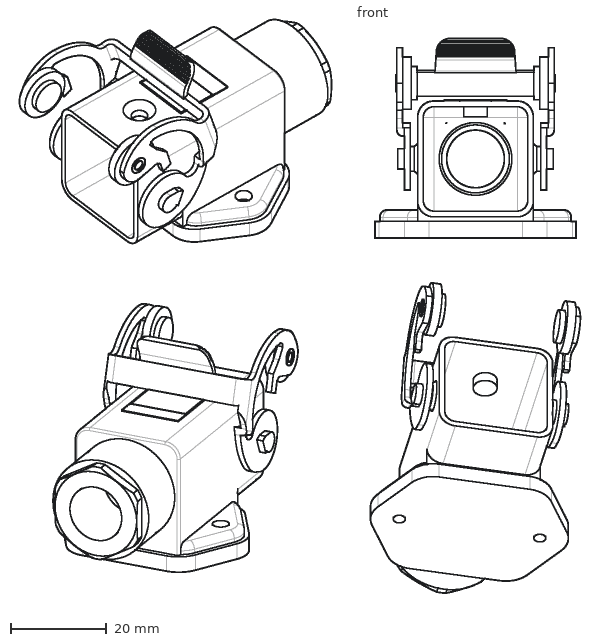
import cadquery as cq
import math


hexagon_half_angle = 30

flange_half_length = 21.0
flange_half_depth = 15.15
flange_centre_y = 0.1
flange_corner_radius = 6.0
flange_thickness = 3.5
tier_top = 5.9
tier_side_inset = 1.0
tier_end_inset = 1.4
tier_fillet = 1.5
mount_hole_offset = flange_half_length - flange_corner_radius
mount_hole_diameter = 2.5
mount_counterbore_diameter = 3.5

body_half_width = 12.1
body_top = 28.65
body_bottom = 4.45
body_front = -26.8
body_back = 14.1
pedestal_front = -14.3
body_corner_radius = 3.35
body_back_fillet = 0.5
wall = 1.2
cavity_corner_radius = 2.2
back_wall = 2.0
body_height = body_top - body_bottom
axis_z = (body_top + body_bottom) / 2

gland_diameter = 22.2
gland_end = 26.65
nut_end = 29.08
nut_across_flats = 19.0
nut_corner_diameter = 20.9
nut_chamfer_length = 0.4
nut_chamfer_width = 1.0
cable_bore_diameter = 12.0
seat_diameter = 15.2
seat_bottom_diameter = 14.2
seat_depth = 0.5

screw_y = -15.8
screw_head_diameter = 6.8
screw_hole_diameter = 3.4
screw_boss_diameter = 5.0
screw_boss_bottom = 25.3
screw_floor_thickness = 0.3
screw_cone_depth = 1.5

plate_half_width = 6.56
plate_back = 2.93
plate_front = -10.0
plate_height = 0.2
plate_recess_back = -1.1
plate_rim = 0.2
plate_recess_depth = 0.1

pivot_y = -21.25
pivot_z = axis_z
peg_radius = 2.15
peg_end = 16.25
peg_flat_length = 2.2
lug_tip = (3.5, 1.6)
lug_root = (2.1, -1.7)
hub_radius = 2.6
hub_base_radius = 3.2
hub_cone_length = 0.7

lever_sheet = 1.25
inner_plate_x = 13.6
outer_plate_end = 16.45
outer_plate_x = outer_plate_end - lever_sheet
pivot_disc_radius = 6.54
lever_tilt = 17.5
bar_outer_y = -8.55
bar_mid_z = 31.9
bar_bottom = 29.6
bar_cut_depth = 4.0
bar_bend_radius = 2.5
joggle_fillet = 1.2
arm_reach = 40.0
sheet_half_height = 25.0

joggle_top_back = (-9.35, 24.05)
joggle_top_front = (-12.34, 23.04)
joggle_bottom_front = (-12.48, 21.30)
joggle_bottom_back = (-9.77, 22.22)

neck_back_arc_middle = (-10.96, 17.85)
neck_back_arc_end = (-14.50, 12.57)
neck_disc_arc_middle = (-16.3, 11.4)
neck_disc_lower_angle = -64.5
neck_disc_upper_angle = 57.5
notch_start = (-16.3, 20.65)
notch_bottom = (-14.50, 19.55)

bar_top_back = (-9.3, 35.17)
bar_bottom_back = (-7.4, 29.3)
arm_root_back = (-9.03, 25.20)
shoulder_start = (-12.11, 34.16)
shoulder_middle = (-13.2, 34.3)
shoulder_end = (-14.18, 34.98)
arm_rise = (-19.23, 38.52)
arm_crown = (-25.20, 39.76)
arm_fall = (-30.94, 37.83)
hook_throat_start = (-25.65, 29.79)
hook_throat_middle = (-24.6, 29.6)
hook_throat_end = (-24.05, 28.65)
hook_tip_front = (-23.45, 26.76)
hook_tip_back = (-21.38, 27.73)
hook_knee = (-22.44, 31.54)
hook_root = (-25.20, 33.79)
window_corner_start = (-27.03, 35.99)
window_corner_middle = (-26.57, 36.91)
window_corner_end = (-25.65, 37.23)
window_crown = (-20.0, 36.1)
window_shoulder = (-15.97, 33.2)
window_flank = (-13.4, 29.3)
window_foot = (-12.4, 25.0)

roller_y = -30.33
roller_z = 32.37
roller_radius = 5.5
roller_inner_x = 13.4
latch_pin_radius = 3.5
latch_pin_x = 12.2
rivet_radius = 1.8
rivet_end = 16.63
rivet_dimple_radius = 1.06
rivet_dimple_depth = 0.2
arm_end_radius = 4.04
arm_end_middle_angle = -135

tab_base_half_width = 8.5
tab_top_half_width = 8.0
tab_corner_radius = 3.0
tab_base_z = 34.5
tab_front_y = -10.96
tab_bend_z = 36.2
tab_bend_radius = 4.8
tab_sheet = 1.1
tab_top_y = -7.84
tab_top_z = 41.73
groove_count = 5
groove_pitch = 0.86
groove_width = 0.35
groove_depth = 0.2
groove_start = 2.2


def point_on_circle(centre, radius, degrees):
    """(Y, Z) point on a circle, its angle measured from +Y toward +Z."""
    angle = math.radians(degrees)
    return (centre[0] + radius * math.cos(angle), centre[1] + radius * math.sin(angle))


def midpoint(first, second):
    return ((first[0] + second[0]) / 2, (first[1] + second[1]) / 2)


def cylinder_x(y, z, radius, x_start, x_end):
    """Cylinder along X between two X positions."""
    return cq.Workplane("YZ", origin=(x_start, y, z)).circle(radius).extrude(x_end - x_start)


def cylinder_y(diameter, y_start, y_end):
    """Cylinder on the cable axis between two Y positions."""
    sketch = cq.Workplane("XZ", origin=(0, y_start, axis_z)).circle(diameter / 2)
    return sketch.extrude(y_start - y_end)


def box_between(x, y, z):
    """Box from (low, high) pairs along X, Y and Z."""
    size = (x[1] - x[0], y[1] - y[0], z[1] - z[0])
    return cq.Workplane("XY").box(*size, centered=False).translate((x[0], y[0], z[0]))


def flange_layer(inset, half_depth, z_start, z_end):
    """Elongated hexagon with 60 degree flanks and rounded corners."""
    radius = flange_corner_radius - inset
    flank = mount_hole_offset + radius / math.cos(math.radians(hexagon_half_angle))
    end_half_length = flank - half_depth * math.tan(math.radians(hexagon_half_angle))
    outline = [
        (flank, 0),
        (end_half_length, half_depth),
        (-end_half_length, half_depth),
        (-flank, 0),
        (-end_half_length, -half_depth),
        (end_half_length, -half_depth),
    ]
    layer = cq.Workplane("XY", origin=(0, 0, z_start)).polyline(outline).close().extrude(z_end - z_start)
    return layer.edges("|Z").fillet(radius)


def make_flange():
    base = flange_layer(0, flange_half_depth, 0, flange_thickness)
    tier = flange_layer(tier_side_inset, flange_half_depth - tier_end_inset, flange_thickness, tier_top)
    flange = base.union(tier.faces(">Z").edges().fillet(tier_fillet))
    return flange.translate((0, flange_centre_y, 0))


def drill_mount_holes(part):
    centres = [(-mount_hole_offset, 0), (mount_hole_offset, 0)]
    holes = cq.Workplane("XY").pushPoints(centres).circle(mount_hole_diameter / 2).extrude(tier_top)
    counterbores = cq.Workplane("XY", origin=(0, 0, flange_thickness)).pushPoints(centres)
    counterbores = counterbores.circle(mount_counterbore_diameter / 2).extrude(tier_top - flange_thickness)
    return part.cut(holes).cut(counterbores)


def make_body():
    """Rounded square tube blank standing on a pedestal."""
    width = (-body_half_width, body_half_width)
    tube = box_between(width, (body_front, body_back), (body_bottom, body_top))
    tube = tube.edges("|Y").fillet(body_corner_radius)
    pedestal = box_between(width, (pedestal_front, body_back), (0, axis_z))
    body = tube.union(pedestal)
    return body.faces(">Y").edges("not <Z").fillet(body_back_fillet)


def make_cavity():
    half_width = body_half_width - wall
    cavity = box_between(
        (-half_width, half_width),
        (body_front, body_back - back_wall),
        (body_bottom + wall, body_top - wall),
    )
    tall = box_between(
        (-half_width, half_width),
        (body_front, body_back - back_wall),
        (body_bottom - body_height, body_top - wall),
    )
    rounded_end = tall.edges("|Y or >Y").edges("not <Z").fillet(cavity_corner_radius)
    return cavity.edges("|Y").fillet(cavity_corner_radius).intersect(rounded_end)


def make_gland():
    sleeve = cylinder_y(gland_diameter, body_back - back_wall, gland_end)
    hexagon = cq.Workplane("XZ", origin=(0, gland_end, axis_z)).polygon(
        6, nut_across_flats / math.cos(math.radians(hexagon_half_angle))
    )
    nut = hexagon.extrude(gland_end - nut_end).rotate((0, 0, axis_z), (0, 1, axis_z), hexagon_half_angle)
    envelope = cylinder_y(nut_corner_diameter, gland_end, nut_end)
    envelope = envelope.faces(">Y").chamfer(nut_chamfer_length, nut_chamfer_width)
    nut = nut.intersect(envelope)
    return sleeve.union(nut)


def bore_gland(part):
    cavity_end = body_back - back_wall
    seat = (
        cq.Workplane("XZ", origin=(0, cavity_end, axis_z))
        .circle(seat_diameter / 2)
        .workplane(offset=-seat_depth)
        .circle(seat_bottom_diameter / 2)
        .loft()
    )
    return part.cut(cylinder_y(cable_bore_diameter, cavity_end, nut_end)).cut(seat)


def add_screw_seat(part):
    boss_height = body_top - screw_boss_bottom
    boss = cq.Workplane("XY", origin=(0, screw_y, screw_boss_bottom))
    boss = boss.circle(screw_boss_diameter / 2).extrude(boss_height - wall / 2)
    profile = [
        (0, body_top),
        (screw_head_diameter / 2, body_top),
        (screw_hole_diameter / 2, body_top - screw_cone_depth),
        (screw_hole_diameter / 2, screw_boss_bottom + screw_floor_thickness),
        (0, screw_boss_bottom + screw_floor_thickness),
    ]
    hole = cq.Workplane("XZ").polyline(profile).close().revolve(360, (0, 0, 0), (0, 1, 0))
    return part.union(boss).cut(hole.translate((0, screw_y, 0)))


def make_name_plate():
    plate = box_between(
        (-plate_half_width, plate_half_width),
        (plate_front, plate_back),
        (body_top - wall / 2, body_top + plate_height),
    )
    recess_half_width = plate_half_width - plate_rim
    recess = box_between(
        (-recess_half_width, recess_half_width),
        (plate_front + plate_rim, plate_recess_back),
        (body_top + plate_height - plate_recess_depth, body_top + plate_height),
    )
    return plate.cut(recess)


def make_pivot():
    """Peg with a conical hub on the +X wall and a retaining lug on its +Y flank."""
    hub_root = body_half_width - wall / 2
    hub = cylinder_x(pivot_y, pivot_z, hub_radius, hub_root, inner_plate_x)
    cone = (
        cq.Workplane("YZ", origin=(body_half_width, pivot_y, pivot_z))
        .circle(hub_base_radius)
        .workplane(offset=hub_cone_length)
        .circle(hub_radius)
        .loft()
    )
    peg = cylinder_x(pivot_y, pivot_z, peg_radius, inner_plate_x, peg_end)
    lug = (
        cq.Workplane("YZ", origin=(inner_plate_x, pivot_y, pivot_z))
        .polyline([(0, 0), (0, peg_radius), (peg_flat_length, peg_radius), lug_tip, lug_root])
        .close()
        .extrude(peg_end - inner_plate_x)
    )
    return hub.union(cone).union(peg).union(lug)


def make_inner_plate():
    """Lower lever plate: pivot disc with a neck rising to the joggle."""
    disc = cylinder_x(pivot_y, pivot_z, pivot_disc_radius, inner_plate_x, inner_plate_x + lever_sheet)
    lower_tangent = point_on_circle((pivot_y, pivot_z), pivot_disc_radius, neck_disc_lower_angle)
    upper_tangent = point_on_circle((pivot_y, pivot_z), pivot_disc_radius, neck_disc_upper_angle)
    neck = (
        cq.Workplane("YZ", origin=(inner_plate_x, 0, 0))
        .moveTo(*joggle_top_back)
        .lineTo(*joggle_bottom_back)
        .threePointArc(neck_back_arc_middle, neck_back_arc_end)
        .threePointArc(neck_disc_arc_middle, lower_tangent)
        .lineTo(pivot_y, pivot_z)
        .lineTo(*upper_tangent)
        .lineTo(*notch_start)
        .threePointArc(notch_bottom, joggle_bottom_front)
        .lineTo(*joggle_top_front)
        .close()
        .extrude(lever_sheet)
    )
    return disc.union(neck)


def make_joggle():
    """Offset bend that carries the inner plate out to the outer plate."""
    corners = [joggle_top_back, joggle_top_front, joggle_bottom_front, joggle_bottom_back]
    joggle = cq.Workplane("YZ", origin=(inner_plate_x, 0, 0)).polyline(corners).close()
    joggle = joggle.extrude(outer_plate_end - inner_plate_x)
    lower_middle = midpoint(joggle_bottom_front, joggle_bottom_back)
    upper_middle = midpoint(joggle_top_front, joggle_top_back)
    outer_lower_edge = cq.selectors.NearestToPointSelector((outer_plate_end, *lower_middle))
    inner_upper_edge = cq.selectors.NearestToPointSelector((inner_plate_x, *upper_middle))
    return joggle.edges(outer_lower_edge).fillet(joggle_fillet).edges(inner_upper_edge).fillet(joggle_fillet)


def make_bail():
    """U-shaped sheet: cross bar and two hooked arms, shaped by its side outline."""
    arm_end_middle = point_on_circle((roller_y, roller_z), arm_end_radius, arm_end_middle_angle)
    side = (
        cq.Workplane("YZ", origin=(-outer_plate_end, 0, 0))
        .moveTo(*bar_top_back)
        .lineTo(*shoulder_start)
        .threePointArc(shoulder_middle, shoulder_end)
        .threePointArc(arm_rise, arm_crown)
        .threePointArc(arm_fall, (roller_y - arm_end_radius, roller_z))
        .threePointArc(arm_end_middle, (roller_y, roller_z - arm_end_radius))
        .lineTo(*hook_throat_start)
        .threePointArc(hook_throat_middle, hook_throat_end)
        .lineTo(*hook_tip_front)
        .lineTo(*hook_tip_back)
        .lineTo(*hook_knee)
        .lineTo(*hook_root)
        .lineTo(*window_corner_start)
        .threePointArc(window_corner_middle, window_corner_end)
        .threePointArc(window_crown, window_shoulder)
        .threePointArc(window_flank, window_foot)
        .lineTo(*joggle_top_front)
        .lineTo(*joggle_top_back)
        .lineTo(*arm_root_back)
        .lineTo(*bar_bottom_back)
        .close()
        .extrude(2 * outer_plate_end)
    )
    outer = box_between(
        (-outer_plate_end, outer_plate_end),
        (-arm_reach, 0),
        (-sheet_half_height, sheet_half_height),
    )
    outer = outer.faces(">Y").edges("|Z").fillet(bar_bend_radius)
    inner = box_between(
        (-outer_plate_x, outer_plate_x),
        (-arm_reach, -lever_sheet),
        (-sheet_half_height, sheet_half_height),
    )
    inner = inner.faces(">Y").edges("|Z").fillet(bar_bend_radius - lever_sheet)
    channel = outer.cut(inner).rotate((0, 0, 0), (1, 0, 0), lever_tilt)
    bail = side.intersect(channel.translate((0, bar_outer_y, bar_mid_z)))
    below_bar = box_between(
        (-outer_plate_x, outer_plate_x),
        (bar_outer_y - bar_cut_depth, 0),
        (bar_bottom - bar_cut_depth, bar_bottom),
    )
    return bail.cut(below_bar)


def make_roller():
    disc = cylinder_x(roller_y, roller_z, roller_radius, roller_inner_x, outer_plate_x)
    pin = cylinder_x(roller_y, roller_z, latch_pin_radius, latch_pin_x, roller_inner_x)
    rivet = cylinder_x(roller_y, roller_z, rivet_radius, outer_plate_x, rivet_end)
    dimple = cylinder_x(roller_y, roller_z, rivet_dimple_radius, rivet_end - rivet_dimple_depth, rivet_end)
    return disc.union(pin).union(rivet).cut(dimple)


def make_tab():
    """Bent thumb tab with grip grooves, rising from the cross bar."""
    rise = tab_top_z - tab_bend_z
    grip_angle = math.atan2(rise, tab_top_y - tab_front_y)
    across = (math.sin(grip_angle), -math.cos(grip_angle))
    back_bend_offset = tab_sheet * math.tan((math.pi / 2 - grip_angle) / 2)
    outline = [
        (tab_front_y, tab_base_z),
        (tab_front_y, tab_bend_z),
        (tab_top_y, tab_top_z),
        (tab_top_y + tab_sheet * across[0], tab_top_z + tab_sheet * across[1]),
        (tab_front_y + tab_sheet, tab_bend_z - back_bend_offset),
        (tab_front_y + tab_sheet, tab_base_z),
    ]
    sheet = cq.Workplane("YZ", origin=(-tab_base_half_width, 0, 0)).polyline(outline).close()
    sheet = sheet.extrude(2 * tab_base_half_width)
    front_bend = cq.selectors.NearestToPointSelector((0, *outline[1]))
    back_bend = cq.selectors.NearestToPointSelector((0, *outline[4]))
    sheet = sheet.edges(front_bend).fillet(tab_bend_radius)
    sheet = sheet.edges(back_bend).fillet(tab_bend_radius - tab_sheet)
    for index in range(groove_count):
        distance = groove_start + index * groove_pitch
        groove = cq.Workplane("XY").box(2 * tab_base_half_width, groove_width, 2 * groove_depth)
        groove = groove.rotate((0, 0, 0), (1, 0, 0), math.degrees(grip_angle))
        groove_y = tab_front_y + distance * math.cos(grip_angle)
        groove_z = tab_bend_z + distance * math.sin(grip_angle)
        sheet = sheet.cut(groove.translate((0, groove_y, groove_z)))
    front = (
        cq.Workplane("XZ")
        .polyline(
            [
                (-tab_base_half_width, tab_base_z),
                (-tab_top_half_width, tab_top_z),
                (tab_top_half_width, tab_top_z),
                (tab_base_half_width, tab_base_z),
            ]
        )
        .close()
        .extrude(arm_reach)
        .edges("|Y and >Z")
        .fillet(tab_corner_radius)
    )
    return sheet.intersect(front)


flange = make_flange()
gland = make_gland()
body = make_body().union(flange).union(gland)
body = bore_gland(body.cut(make_cavity()))
body = drill_mount_holes(body)
body = add_screw_seat(body).union(make_name_plate())
lever = make_bail().union(make_tab())
side_parts = make_pivot().union(make_inner_plate()).union(make_joggle()).union(make_roller())
result = body.union(lever).union(side_parts).union(side_parts.mirror("YZ"))